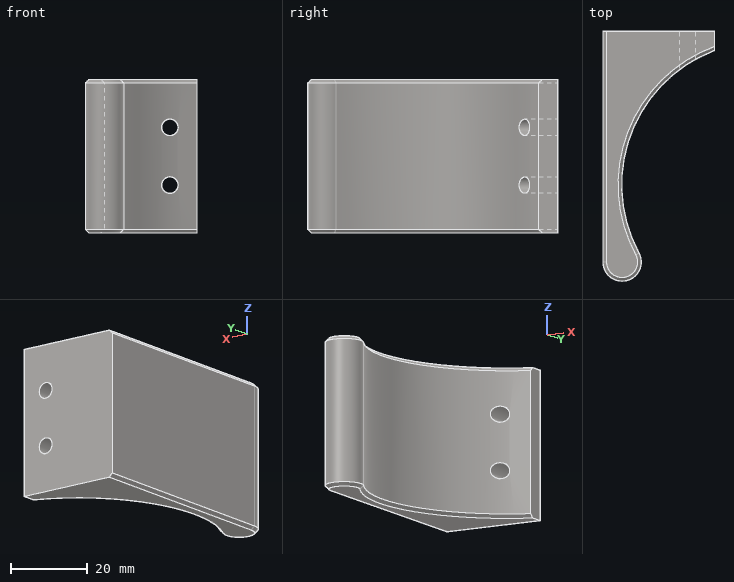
import cadquery as cq
import math

length = 65.0
width = 29.05
height = 40.0

tip_radius = 5.0
tip_y = tip_radius

flange_thickness = 5.0
tip_join_angle = math.radians(28)
arc_start = (
    tip_radius * (1 + math.cos(tip_join_angle)),
    tip_y + tip_radius * math.sin(tip_join_angle),
)
arc_end = (width, length - flange_thickness)
arc_radius = 37.3

edge_chamfer = 1.0

hole_diameter = 4.2
hole_x = 22.0
hole_spacing = 15.0


def make_body():
    """Profile of the bracket, extruded over the full height."""
    return (
        cq.Workplane("XY")
        .moveTo(0, length)
        .lineTo(0, tip_y)
        .threePointArc((tip_radius, 0), arc_start)
        .radiusArc(arc_end, arc_radius)
        .lineTo(width, length)
        .close()
        .extrude(height)
    )


def chamfer_edges(body):
    """Bevel both end faces along the flat side, the tip and the concave face."""
    outline = body.faces("<Z or >Z").edges()
    straight_ends = body.faces(">Y or >X").edges()
    return outline.newObject(
        [edge for edge in outline.vals() if edge not in straight_ends.vals()]
    ).chamfer(edge_chamfer)


def make_screw_holes():
    """Cylinders placed symmetrically about mid height."""
    return (
        cq.Workplane("XZ")
        .center(hole_x, height / 2)
        .rarray(0.65, hole_spacing, 1, 2)
        .circle(hole_diameter / 2)
        .extrude(-length)
    )


result = chamfer_edges(make_body()).cut(make_screw_holes())